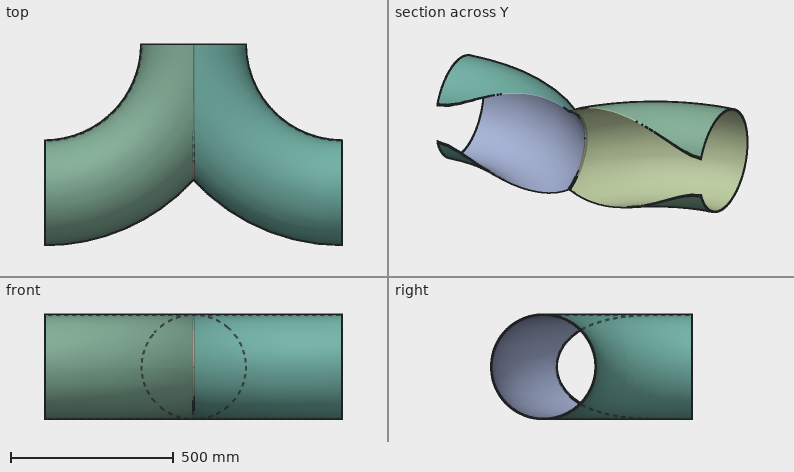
import cadquery as cq

outer_diameter = 323.9
wall = 3.0
bend_radius = 457.0
seam_radius = 4.0

outer_radius = outer_diameter / 2
inner_radius = outer_radius - wall
seam_block = 2 * (bend_radius + outer_diameter)
overall_depth = bend_radius + outer_radius
shared_end_y = overall_depth / 2


def elbow(radius, side):
    """Solid quarter bend from the shared end to the branch end at -X (side -1) or +X (side +1),
    trimmed at the seam plane X = 0."""
    full_bend = (
        cq.Workplane("XZ", origin=(0, shared_end_y, 0))
        .circle(radius)
        .revolve(90, (side * bend_radius, 0), (side * bend_radius, side))
    )
    half_space = (
        cq.Workplane("XY", origin=(side * seam_block / 2, 0, 0))
        .box(seam_block, seam_block, seam_block)
    )
    return full_bend.intersect(half_space)


def twin_bend(radius):
    """Two mirrored bends meeting in a mitre at the seam plane, with the mitre rounded.
    The seam edges are the only spline curves; all other edges are circular."""
    mitred = elbow(radius, -1).union(elbow(radius, 1))
    return mitred.edges("%BSPLINE").fillet(seam_radius)


result = twin_bend(outer_radius).cut(twin_bend(inner_radius))